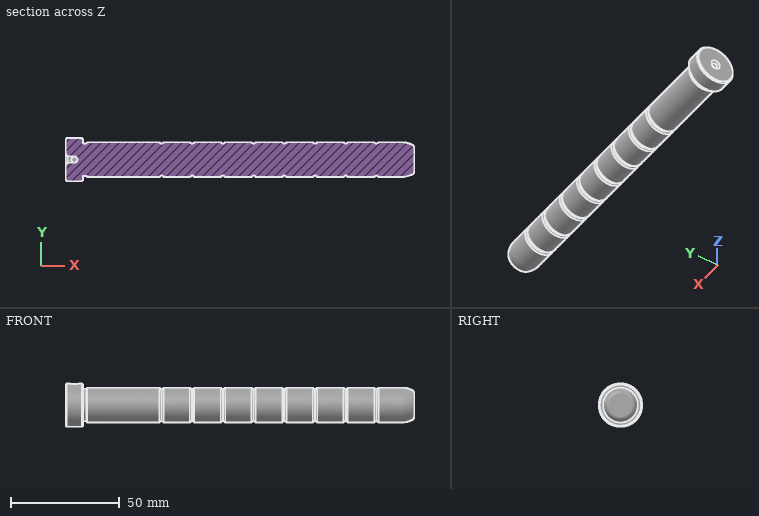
import cadquery as cq

total_length = 160.0
head_diameter = 20.0
head_length = 8.0
head_chamfer = 0.56
shaft_diameter = 16.0

relief_depth = 0.5
relief_end = 10.0
relief_slope_length = 0.5

groove_count = 8
first_groove_center = 44.0
groove_pitch = 14.0
groove_width = 2.0
groove_floor_width = 0.3
groove_depth = 0.6

crown_length = 5.0
tip_rounding_length = 1.6
crown_end_diameter = 14.2
end_face_diameter = 10.9
rounding_radius = 2.0

bore_diameter = 2.7
axial_countersink_diameter = 4.6
top_counterbore_diameter = 4.2
top_counterbore_depth = 1.5
top_counterbore_chamfer = 0.5
cutter_clearance = 0.2

head_radius = head_diameter / 2
shaft_radius = shaft_diameter / 2
bore_radius = bore_diameter / 2
relief_radius = shaft_radius - relief_depth
hole_center_x = head_length / 2


def make_head():
    """Round head with both rims chamfered."""
    return cq.Workplane("YZ").circle(head_radius).extrude(head_length).edges().chamfer(head_chamfer)


def make_shaft():
    """Revolved shaft with the relief behind the head and the crowned, rounded tip."""
    rounding_start = (total_length - tip_rounding_length, crown_end_diameter / 2)
    end_face_rim = (total_length, end_face_diameter / 2)
    profile = (
        cq.Workplane("XZ")
        .moveTo(hole_center_x, 0)
        .lineTo(hole_center_x, relief_radius)
        .lineTo(relief_end - relief_slope_length, relief_radius)
        .lineTo(relief_end, shaft_radius)
        .lineTo(total_length - crown_length, shaft_radius)
        .tangentArcPoint(rounding_start, relative=False)
        .radiusArc(end_face_rim, rounding_radius)
        .lineTo(total_length, 0)
        .close()
    )
    return profile.revolve(360, (0, 0, 0), (1, 0, 0))


def make_ring_groove(center_x):
    """Ring with a flat floor and sloping walls, to be cut from the shaft."""
    floor_radius = shaft_radius - groove_depth
    profile = (
        cq.Workplane("XZ")
        .moveTo(center_x - groove_floor_width / 2, floor_radius)
        .lineTo(center_x + groove_floor_width / 2, floor_radius)
        .lineTo(center_x + groove_width / 2, shaft_radius)
        .lineTo(center_x + groove_width / 2, head_radius)
        .lineTo(center_x - groove_width / 2, head_radius)
        .lineTo(center_x - groove_width / 2, shaft_radius)
        .close()
    )
    return profile.revolve(360, (0, 0, 0), (1, 0, 0))


def make_axial_hole():
    """Bore from the end face to the middle of the head, with a 90 degree countersink."""
    countersink_radius = axial_countersink_diameter / 2
    profile = (
        cq.Workplane("XZ")
        .lineTo(0, countersink_radius)
        .lineTo(countersink_radius - bore_radius, bore_radius)
        .lineTo(hole_center_x, bore_radius)
        .lineTo(hole_center_x, 0)
        .close()
    )
    return profile.revolve(360, (0, 0, 0), (1, 0, 0))


def make_top_hole():
    """Bore from the top of the head to just through the axial bore, with a chamfered counterbore."""
    counterbore_radius = top_counterbore_diameter / 2
    mouth_radius = counterbore_radius + top_counterbore_chamfer
    counterbore_floor = head_radius - top_counterbore_depth
    profile = (
        cq.Workplane("XZ", origin=(hole_center_x, 0, 0))
        .moveTo(0, head_radius + cutter_clearance)
        .lineTo(mouth_radius, head_radius + cutter_clearance)
        .lineTo(mouth_radius, head_radius)
        .lineTo(counterbore_radius, head_radius - top_counterbore_chamfer)
        .lineTo(counterbore_radius, counterbore_floor)
        .lineTo(bore_radius, counterbore_floor)
        .lineTo(bore_radius, -bore_radius)
        .lineTo(0, -bore_radius)
        .close()
    )
    return profile.revolve(360, (0, 0, 0), (0, 1, 0))


result = make_head().union(make_shaft())
for index in range(groove_count):
    result = result.cut(make_ring_groove(first_groove_center + index * groove_pitch))
result = result.cut(make_axial_hole()).cut(make_top_hole())